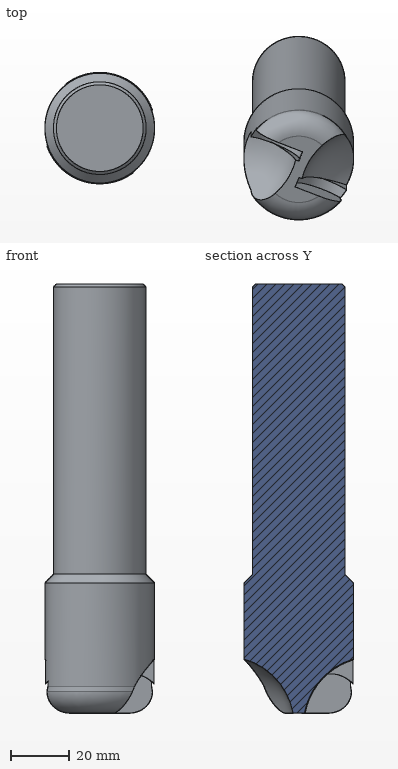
import cadquery as cq
import math

total_length = 147.8
shank_radius = 16.0
shank_chamfer = 1.0

head_radius = 18.9
rim_radius = 19.2
shoulder_top = 47.9
shoulder_bottom = shoulder_top - (head_radius - shank_radius)
flare_top = 9.3
corner_radius = 7.5

flute_count = 2
ball_radius = 23.6
ball_x = 25.3
ball_y = -0.5
ball_z = -4.1
pocket_wall_y = 2.7

seat_radius = 10.3
seat_x = 11.0
seat_z = 3.3
seat_wall_y = 6.2


def make_blank():
    """Revolve the shank and head, with a slightly flared, rounded end."""
    bottom_radius = rim_radius - corner_radius
    diagonal = corner_radius * math.sqrt(0.5)
    corner_middle = (bottom_radius + diagonal, corner_radius - diagonal)
    profile = (
        cq.Workplane("XZ")
        .lineTo(bottom_radius, 0)
        .threePointArc(corner_middle, (rim_radius, corner_radius))
        .lineTo(head_radius, flare_top)
        .lineTo(head_radius, shoulder_bottom)
        .lineTo(shank_radius, shoulder_top)
        .lineTo(shank_radius, total_length - shank_chamfer)
        .lineTo(shank_radius - shank_chamfer, total_length)
        .lineTo(0, total_length)
        .close()
    )
    return profile.revolve(360, (0, 0, 0), (0, 1, 0))


def make_flute():
    """Cutter for the pocket and seat on the +X side, opening toward -Y."""
    ball = cq.Workplane("XY").sphere(ball_radius).translate((ball_x, ball_y, ball_z))
    wall_side = (
        cq.Workplane("XZ", origin=(0, pocket_wall_y, 0))
        .center(ball_x, ball_z)
        .rect(3 * ball_radius, 3 * ball_radius)
        .extrude(2 * ball_radius)
    )
    pocket = ball.intersect(wall_side)
    seat = (
        cq.Workplane("XZ", origin=(0, seat_wall_y, 0))
        .center(seat_x, seat_z)
        .circle(seat_radius)
        .extrude(seat_wall_y - pocket_wall_y)
    )
    return pocket.union(seat)


result = make_blank()
for index in range(flute_count):
    angle = index * 360 / flute_count
    result = result.cut(make_flute().rotate((0, 0, 0), (0, 0, 1), angle))